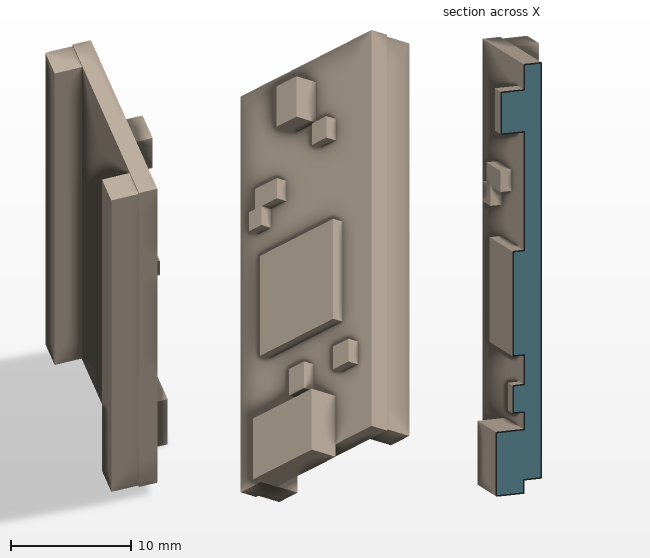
import cadquery as cq

board_width = 17.78
board_thickness = 1.6
board_length = 35.76

rail_width = 2.5
rail_height = 2.4
rail_side_inset = 0.05
rail_end_inset = 0.15

socket_width = 8.0
socket_height = 2.5
socket_length = 5.5
socket_overhang = 1.14

button_width = 2.7
button_height = 2.05
button_length = 3.65
button_top_gap = 2.17

component_height = 1.0
main_chip_half_width = 4.97
flat_components = {
    "upper chip": (-4.06, -2.11, 27.41, 29.35),
    "regulator": (2.69, 5.65, 24.21, 26.04),
    "capacitor": (4.78, 6.49, 22.50, 24.21),
    "main chip": (-main_chip_half_width, main_chip_half_width, 10.74, 19.77),
    "lower left chip": (-7.07, -main_chip_half_width, 6.17, 8.23),
    "lower middle chip": (-1.0, 1.0, 5.83, 8.23),
}


def block(left, right, front, back, bottom, top):
    """Box between the given X, Y and Z limits."""
    box = cq.Workplane("XY").box(right - left, back - front, top - bottom, centered=False)
    return box.translate((left, front, bottom))


def on_component_face(left, right, height, bottom, top):
    """Component rising by height from the +Y face, with its base sunk to the board's mid-plane."""
    return block(left, right, -board_thickness / 2, height, bottom, top)


def make_board():
    return block(-board_width / 2, board_width / 2, -board_thickness, 0, 0, board_length)


def make_rail(left):
    front = -board_thickness - rail_height
    top = board_length - rail_end_inset
    return block(left, left + rail_width, front, -board_thickness, rail_end_inset, top)


def make_socket():
    """The overhang stays behind the +Y face, so the socket only touches that face."""
    bottom = -socket_overhang
    return block(-socket_width / 2, socket_width / 2, 0, socket_height, bottom, bottom + socket_length)


def make_button():
    top = board_length - button_top_gap
    return on_component_face(-button_width / 2, button_width / 2, button_height, top - button_length, top)


result = make_board().union(make_socket()).union(make_button())

rail_outer_x = board_width / 2 - rail_side_inset
for rail_left in (-rail_outer_x, rail_outer_x - rail_width):
    result = result.union(make_rail(rail_left))

for left, right, bottom, top in flat_components.values():
    result = result.union(on_component_face(left, right, component_height, bottom, top))